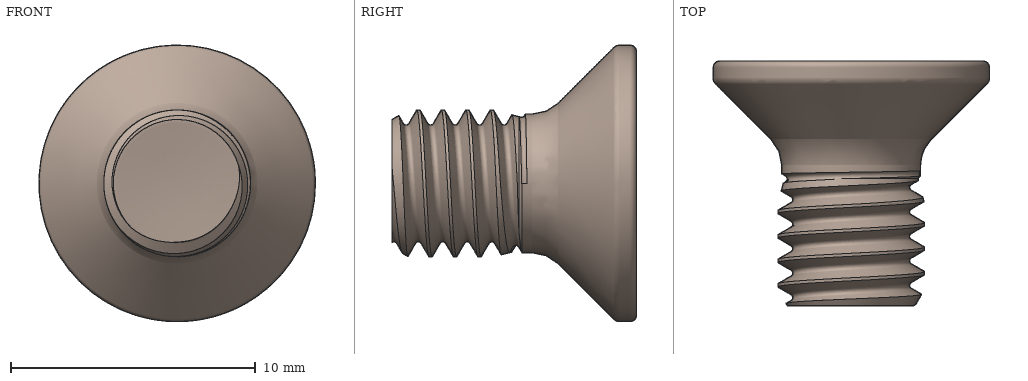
import cadquery as cq
import math


length = 10.0
head_radius = 5.65

cone_mouth_depth = 0.835
top_edge_radius = 0.27
rim_edge_radius = 0.3
neck_fillet_radius = 1.5

shank_radius = 2.84
shank_end_depth = 4.68
lead_in_radius = 2.73
lead_in_depth = 4.81
lead_in_angle = math.radians(15)

tip_radius = 2.61
tip_chamfer_angle = math.radians(30)
tip_dish_radius = 2.48
tip_dish_depth = 0.12

thread_radius = 3.0
pitch = 1.0
flank_angle = math.radians(30)
crest_flat = pitch / 8
root_chord = pitch / 4
cutter_overshoot = 0.05

runout_depth = 5.167
thread_turns = 6
groove_stages = [
    (thread_turns, pitch, 0),
    (0.25, 0.94 * pitch, 0.15),
    (0.75, 0.45 * pitch, 0.25),
]

neck_corner_depth = cone_mouth_depth + head_radius - shank_radius
lead_in_end_depth = lead_in_depth + (thread_radius - lead_in_radius) / math.tan(lead_in_angle)
tip_chamfer_length = (thread_radius - tip_radius) / math.tan(tip_chamfer_angle)
flank_height = (pitch - crest_flat - root_chord) / (2 * math.tan(flank_angle))
root_arc_radius = root_chord / (2 * math.cos(flank_angle))
root_arc_height = root_arc_radius * (1 - math.sin(flank_angle))
root_radius = thread_radius - flank_height - root_arc_height


def ring_edge(radius, depth):
    """Selector for the circular edge of the given radius and depth, centred on the axis."""
    margin = 0.01
    reach = radius + margin
    return cq.selectors.BoxSelector(
        (-reach, -reach, -depth - margin), (reach, reach, -depth + margin), boundingbox=True
    )


def make_blank():
    """Head, shank and unthreaded stem, with the head edges and neck rounded."""
    outline = [
        (0, 0),
        (head_radius, 0),
        (head_radius, -cone_mouth_depth),
        (shank_radius, -neck_corner_depth),
        (shank_radius, -shank_end_depth),
        (lead_in_radius, -lead_in_depth),
        (thread_radius, -lead_in_end_depth),
        (thread_radius, -length + tip_chamfer_length),
        (tip_radius, -length),
        (0, -length),
    ]
    blank = cq.Workplane("XZ").polyline(outline).close().revolve(360, (0, 0), (0, 1))
    blank = blank.edges(ring_edge(shank_radius, neck_corner_depth)).fillet(neck_fillet_radius)
    blank = blank.edges(ring_edge(head_radius, cone_mouth_depth)).fillet(rim_edge_radius)
    return blank.edges(ring_edge(head_radius, 0)).fillet(top_edge_radius)


def make_tip_dish():
    """Ball whose cap hollows the tip face slightly."""
    ball_radius = (tip_dish_radius**2 + tip_dish_depth**2) / (2 * tip_dish_depth)
    ball_center_z = -length + tip_dish_depth - ball_radius
    return cq.Workplane("XY").sphere(ball_radius).translate((0, 0, ball_center_z))


def groove_profile(root, z):
    """Rounded V of the thread groove in the XZ plane, opening outwards, with its root at (root, z)."""
    half_chord = root_chord / 2
    chord_x = root + root_arc_height
    mouth_x = chord_x + flank_height + cutter_overshoot
    half_mouth = half_chord + (mouth_x - chord_x) * math.tan(flank_angle)
    return (
        cq.Workplane("XZ")
        .moveTo(mouth_x, z - half_mouth)
        .lineTo(chord_x, z - half_chord)
        .threePointArc((root, z), (chord_x, z + half_chord))
        .lineTo(mouth_x, z + half_mouth)
        .close()
    )


def groove_stage(root, z, turns, rise, root_gain):
    """Cutter for one stage of the right-handed groove, starting on +X and climbing to the head."""
    height = turns * rise
    helix_options = {"center": cq.Vector(0, 0, z)}
    if root_gain:
        cone_angle = math.atan(root_gain / height)
        slant = 1 / math.cos(cone_angle)
        helix_options["angle"] = math.degrees(cone_angle)
    else:
        slant = 1
    path = cq.Wire.makeHelix(rise * slant, height * slant, root, **helix_options)
    return groove_profile(root, z).sweep(cq.Workplane(path), isFrenet=True)


def cut_thread(blank):
    """Cut the groove stage by stage, each starting where the one before it ends."""
    root = root_radius
    z = -runout_depth - thread_turns * pitch
    heading = 0
    for turns, rise, root_gain in groove_stages:
        cutter = groove_stage(root, z, turns, rise, root_gain)
        blank = blank.cut(cutter.rotate((0, 0, 0), (0, 0, 1), heading))
        root += root_gain
        z += turns * rise
        heading += 360 * turns
    return blank


screw = cut_thread(make_blank().cut(make_tip_dish()))
result = screw.rotate((0, 0, 0), (1, 0, 0), -90)